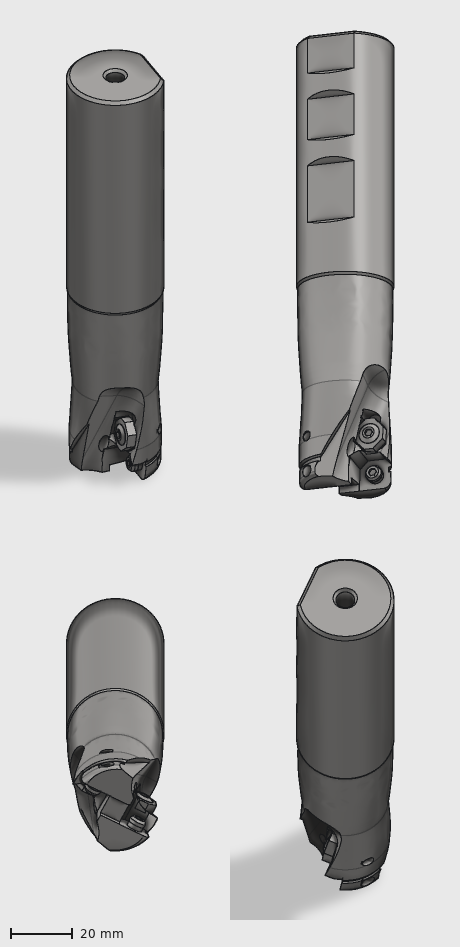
import cadquery as cq
import math

TOTAL_LENGTH = 151.6
SHANK_RADIUS = 15.85
SHANK_END_CHAMFER = 1.0
SHANK_BOTTOM_Z = 69.1
CLAMP_FLAT_Y = 13.6
FLAT_RAMP_LENGTH = 1.5
CLAMP_FLATS = [(87.8, 107.0), (116.0, 129.8), (138.7, TOTAL_LENGTH)]

NECK_TOP_RADIUS = 15.5
NECK_TOP_Z = 68.2
NECK_MIDDLE_RADIUS = 15.0
NECK_MIDDLE_Z = 45.5
WAIST_RADIUS = 14.0
WAIST_Z = 32.6
HEAD_RADIUS = 15.0
HEAD_TOP_Z = 14.0
HEAD_STEP_Z = 7.7
GROOVE_RADIUS = 14.1
GROOVE_TOP_Z = 7.3
GROOVE_BOTTOM_Z = 5.8
NOSE_RADIUS = 14.9
NOSE_CORNER_RADIUS = 2.5

BORE_RADIUS = 3.0
BORE_MOUTH_CHAMFER = 0.9
BORE_BOTTOM_Z = 30.3
COOLANT_RADIUS = 1.5
COOLANT_OUTLET = cq.Vector(4.5, -6.5, 10.6)
COOLANT_OVERRUN = 4.5

FLUTE_COUNT = 2
CUT_REACH = 60.6
FLUTE_WALL_TILT = 16.0
FLUTE_FLOOR_TILT = 17.0
FLUTE_CORNER = (10.9, 7.6, 38.8)
FLUTE_FILLET = 9.1
CLEARANCE_FLOOR_Y = -12.3
CLEARANCE_FLOOR_SLOPE = 0.25
CLEARANCE_BOTTOM_X = -7.9
CLEARANCE_TOP_X = 7.3
CLEARANCE_TOP_Z = 24.1
END_SLOT_WIDTH = 7.3
END_SLOT_DEPTH = 2.3
END_RELIEF_ANGLE = 4.0

RAKE_ANGLE = 7.0
SCREW_X = 9.1
PLATE_SEAT_Y = 0.9
PLATE_CENTRE_Z = 16.8
LOWER_SEAT_Y = 4.2
LOWER_CENTRE_Z = 4.5
LOWER_SEAT_LEFT = 5.6
LOWER_SEAT_ROOF = 5.9
LOWER_ROOF_HALF_WIDTH = 3.0
LOWER_ROOF_DROP = 2.7
PLATE_CLEARANCE = 0.3
PLATE_POCKET_DEPTH = 5.2
LOWER_POCKET_DEPTH = 10.6
RELIEF_RADIUS = 2.5
RELIEF_TOP = 8.6
RELIEF_DEPTH = 1.2

PLATE_WIDTH = 9.4
PLATE_HEIGHT = 10.9
PLATE_CORNER_CUT = 3.2
PLATE_THICKNESS = 3.2
PLATE_THREAD_RADIUS = 1.7
LOWER_THREAD_RADIUS = 2.0
PLATE_TAIL_LENGTH = 9.1
SOCKET_SIDES = 6
SOCKET_DIAMETER = 2.7
SOCKET_DEPTH = 0.8
PLATE_HEAD_RADIUS = 3.5
PLATE_HEAD_TOP_RADIUS = 2.0
PLATE_HEAD_RIM = 0.2
PLATE_HEAD_HEIGHT = 0.9
LOWER_TAIL_LENGTH = 5.8
LOWER_HEAD_RADIUS = 2.7
LOWER_HEAD_TOP_RADIUS = 2.1
LOWER_HEAD_RIM = 1.2
LOWER_HEAD_HEIGHT = 2.1
COLLAR_RADIUS = 2.6
COLLAR_LENGTH = 1.5


def seat_plane(seat_y, centre_z):
    """Plane on a seat, with its normal pointing out of the seat and leaning up by the rake."""
    rake = math.radians(RAKE_ANGLE)
    return cq.Plane(
        origin=(SCREW_X, seat_y, centre_z),
        xDir=(1, 0, 0),
        normal=(0, -math.cos(rake), math.sin(rake)),
    )


PLATE_SEAT = seat_plane(PLATE_SEAT_Y, PLATE_CENTRE_Z)
LOWER_SEAT = seat_plane(LOWER_SEAT_Y, LOWER_CENTRE_Z)


def at_flute(shape, index):
    """Turn a shape made for the first flute to the flute of the given index."""
    return shape.rotate((0, 0, 0), (0, 0, 1), index * 360.0 / FLUTE_COUNT)


def cutter_blank():
    """Turned shape of the whole tool."""
    corner_mid = NOSE_CORNER_RADIUS * (1 - math.sqrt(0.5))
    return (
        cq.Workplane("XZ")
        .moveTo(0, 0)
        .lineTo(NOSE_RADIUS - NOSE_CORNER_RADIUS, 0)
        .threePointArc((NOSE_RADIUS - corner_mid, corner_mid), (NOSE_RADIUS, NOSE_CORNER_RADIUS))
        .lineTo(NOSE_RADIUS, GROOVE_BOTTOM_Z)
        .lineTo(GROOVE_RADIUS, GROOVE_BOTTOM_Z)
        .lineTo(GROOVE_RADIUS, GROOVE_TOP_Z)
        .lineTo(HEAD_RADIUS, HEAD_STEP_Z)
        .lineTo(HEAD_RADIUS, HEAD_TOP_Z)
        .lineTo(WAIST_RADIUS, WAIST_Z)
        .threePointArc((NECK_MIDDLE_RADIUS, NECK_MIDDLE_Z), (NECK_TOP_RADIUS, NECK_TOP_Z))
        .lineTo(SHANK_RADIUS, SHANK_BOTTOM_Z)
        .lineTo(SHANK_RADIUS, TOTAL_LENGTH)
        .lineTo(0, TOTAL_LENGTH)
        .close()
        .revolve(360, (0, 0), (0, 1))
    )


def clamp_flats():
    """Flats on the +Y side of the shank, each with a sloping ramp at both ends."""
    flats = cq.Workplane("YZ")
    for bottom, top in CLAMP_FLATS:
        flats = flats.polyline([
            (CLAMP_FLAT_Y, bottom),
            (CLAMP_FLAT_Y, top),
            (SHANK_RADIUS, top + FLAT_RAMP_LENGTH),
            (SHANK_RADIUS, bottom - FLAT_RAMP_LENGTH),
        ]).close()
    return flats.extrude(SHANK_RADIUS, both=True)


def central_bore():
    """Coolant bore from the shank end, with a chamfered mouth."""
    return (
        cq.Workplane("XY", origin=(0, 0, BORE_BOTTOM_Z))
        .circle(BORE_RADIUS)
        .extrude(TOTAL_LENGTH - BORE_BOTTOM_Z)
        .union(
            cq.Workplane("XY", origin=(0, 0, TOTAL_LENGTH))
            .circle(BORE_RADIUS + BORE_MOUTH_CHAMFER)
            .workplane(offset=-BORE_MOUTH_CHAMFER)
            .circle(BORE_RADIUS)
            .loft()
        )
    )


def coolant_channel():
    """Slanted channel from the bottom of the bore out through the wall of the first flute."""
    start = cq.Vector(0, 0, BORE_BOTTOM_Z)
    run = COOLANT_OUTLET - start
    return cq.Workplane(cq.Solid.makeCylinder(COOLANT_RADIUS, run.Length + COOLANT_OVERRUN, start, run))


def flute_cut():
    """Leaning corner cut with large round inside edges, open downward and outward."""
    block = (
        cq.Workplane("XY")
        .box(CUT_REACH, CUT_REACH, CUT_REACH, centered=False)
        .translate((0, -CUT_REACH, -CUT_REACH))
    )
    corner_edges = block.edges("(|Y and <X and >Z) or (|Z and <X and >Y) or (|X and >Y and >Z)")
    return (
        corner_edges.fillet(FLUTE_FILLET)
        .rotate((0, 0, 0), (1, 0, 0), -FLUTE_FLOOR_TILT)
        .rotate((0, 0, 0), (0, 1, 0), FLUTE_WALL_TILT)
        .translate(FLUTE_CORNER)
    )


def clearance_cut():
    """Shallow cut beside the flute wall, with a sloping floor and a slanted end wall."""
    wall_lean = math.tan(math.radians(FLUTE_WALL_TILT))
    floor_plane = cq.Plane(
        origin=(0, CLEARANCE_FLOOR_Y, 0),
        xDir=(1, CLEARANCE_FLOOR_SLOPE, 0),
        normal=(CLEARANCE_FLOOR_SLOPE, -1, -CLEARANCE_FLOOR_SLOPE * wall_lean),
    )
    above_floor = cq.Workplane(floor_plane).rect(CUT_REACH, CUT_REACH).extrude(SHANK_RADIUS)
    return (
        cq.Workplane("XZ")
        .polyline([
            (CLEARANCE_BOTTOM_X, 0),
            (CLEARANCE_TOP_X, CLEARANCE_TOP_Z),
            (CLEARANCE_TOP_X, 0),
        ])
        .close()
        .extrude(SHANK_RADIUS)
        .intersect(above_floor)
    )


def plate_outline(plane, margin):
    """Upright rectangle with cut corners, larger than the plate by the margin all round."""
    half_width = PLATE_WIDTH / 2 + margin
    half_height = PLATE_HEIGHT / 2 + margin
    flat_x = half_width - PLATE_CORNER_CUT
    flat_y = half_height - PLATE_CORNER_CUT
    return (
        cq.Workplane(plane)
        .polyline([
            (flat_x, half_height),
            (half_width, flat_y),
            (half_width, -flat_y),
            (flat_x, -half_height),
            (-flat_x, -half_height),
            (-half_width, -flat_y),
            (-half_width, flat_y),
            (-flat_x, half_height),
        ])
        .close()
    )


def plate_pocket():
    """Recess for the plate, with a round relief that goes deeper than the seat above it."""
    recess = plate_outline(PLATE_SEAT, PLATE_CLEARANCE).extrude(PLATE_POCKET_DEPTH)
    relief = (
        cq.Workplane(PLATE_SEAT)
        .workplane(offset=-RELIEF_DEPTH)
        .center(0, RELIEF_TOP - RELIEF_RADIUS)
        .circle(RELIEF_RADIUS)
        .extrude(RELIEF_DEPTH + PLATE_POCKET_DEPTH)
    )
    return recess.union(relief)


def lower_pocket():
    """Empty seat at the tool end, with a flat roof that slopes down on both sides."""
    slope_end = LOWER_SEAT_ROOF - LOWER_ROOF_DROP
    return (
        cq.Workplane(LOWER_SEAT)
        .polyline([
            (-LOWER_ROOF_HALF_WIDTH, LOWER_SEAT_ROOF),
            (LOWER_ROOF_HALF_WIDTH, LOWER_SEAT_ROOF),
            (LOWER_ROOF_HALF_WIDTH + LOWER_ROOF_DROP, slope_end),
            (SHANK_RADIUS, slope_end),
            (SHANK_RADIUS, -SHANK_RADIUS),
            (-LOWER_SEAT_LEFT, -SHANK_RADIUS),
            (-LOWER_SEAT_LEFT, slope_end),
        ])
        .close()
        .extrude(LOWER_POCKET_DEPTH)
    )


def screw_hole(plane, radius):
    return cq.Workplane(plane).circle(radius).extrude(-CUT_REACH / 2)


def end_slot():
    """Straight slot across the tool end, between the two lower seats."""
    return cq.Workplane("XY").rect(CUT_REACH, END_SLOT_WIDTH).extrude(END_SLOT_DEPTH)


def end_relief():
    """Wedge that lifts the end face away from its edge at the lower seat."""
    edge_y = END_SLOT_WIDTH / 2
    rise = CUT_REACH * math.tan(math.radians(END_RELIEF_ANGLE))
    return (
        cq.Workplane("YZ")
        .polyline([(edge_y, 0), (edge_y + CUT_REACH, rise), (edge_y + CUT_REACH, 0)])
        .close()
        .extrude(CUT_REACH, both=True)
    )


def make_cutter_body():
    body = cutter_blank().cut(clamp_flats())
    body = body.faces(">Z").chamfer(SHANK_END_CHAMFER)
    body = body.cut(central_bore()).cut(end_slot())
    cuts = [
        flute_cut(),
        clearance_cut(),
        plate_pocket(),
        lower_pocket(),
        screw_hole(PLATE_SEAT, PLATE_THREAD_RADIUS),
        screw_hole(LOWER_SEAT, LOWER_THREAD_RADIUS),
        coolant_channel(),
        end_relief(),
    ]
    for index in range(FLUTE_COUNT):
        for cut in cuts:
            body = body.cut(at_flute(cut, index))
    return body


def make_plate():
    """Flat plate with cut corners and a screw hole."""
    plate = plate_outline(PLATE_SEAT, 0).extrude(PLATE_THICKNESS)
    return plate.cut(cq.Workplane(PLATE_SEAT).circle(PLATE_THREAD_RADIUS).extrude(PLATE_THICKNESS))


def make_screw(plane, seat_to_head, tail, thread_radius, head_radius, head_top_radius, head_rim, head_height):
    """Screw with a cone-topped head and a hexagon socket; its tail runs below the seat."""
    head_top = seat_to_head + head_height
    half_section = cq.Plane(origin=plane.origin, xDir=plane.xDir, normal=-plane.yDir)
    return (
        cq.Workplane(half_section)
        .polyline([
            (0, -tail),
            (thread_radius, -tail),
            (thread_radius, seat_to_head),
            (head_radius, seat_to_head),
            (head_radius, seat_to_head + head_rim),
            (head_top_radius, head_top),
            (0, head_top),
        ])
        .close()
        .revolve(360, (0, 0), (0, 1))
        .cut(
            cq.Workplane(plane)
            .workplane(offset=head_top)
            .polygon(SOCKET_SIDES, SOCKET_DIAMETER)
            .extrude(-SOCKET_DEPTH)
        )
    )


def make_plate_screw():
    return make_screw(
        PLATE_SEAT, PLATE_THICKNESS, PLATE_TAIL_LENGTH, PLATE_THREAD_RADIUS,
        PLATE_HEAD_RADIUS, PLATE_HEAD_TOP_RADIUS, PLATE_HEAD_RIM, PLATE_HEAD_HEIGHT,
    )


def make_lower_screw():
    return make_screw(
        LOWER_SEAT, COLLAR_LENGTH, LOWER_TAIL_LENGTH, LOWER_THREAD_RADIUS,
        LOWER_HEAD_RADIUS, LOWER_HEAD_TOP_RADIUS, LOWER_HEAD_RIM, LOWER_HEAD_HEIGHT,
    )


def make_collar():
    """Ring between the lower seat and the head of its screw."""
    return cq.Workplane(LOWER_SEAT).circle(COLLAR_RADIUS).circle(LOWER_THREAD_RADIUS).extrude(COLLAR_LENGTH)


cutter_body = make_cutter_body()
plates = []
plate_screws = []
lower_screws = []
collars = []
for flute_index in range(FLUTE_COUNT):
    plates.append(at_flute(make_plate(), flute_index).val())
    plate_screws.append(at_flute(make_plate_screw(), flute_index).val())
    lower_screws.append(at_flute(make_lower_screw(), flute_index).val())
    collars.append(at_flute(make_collar(), flute_index).val())

result = cq.Compound.makeCompound(
    [cutter_body.val(), *plates, *plate_screws, *lower_screws, *collars]
)